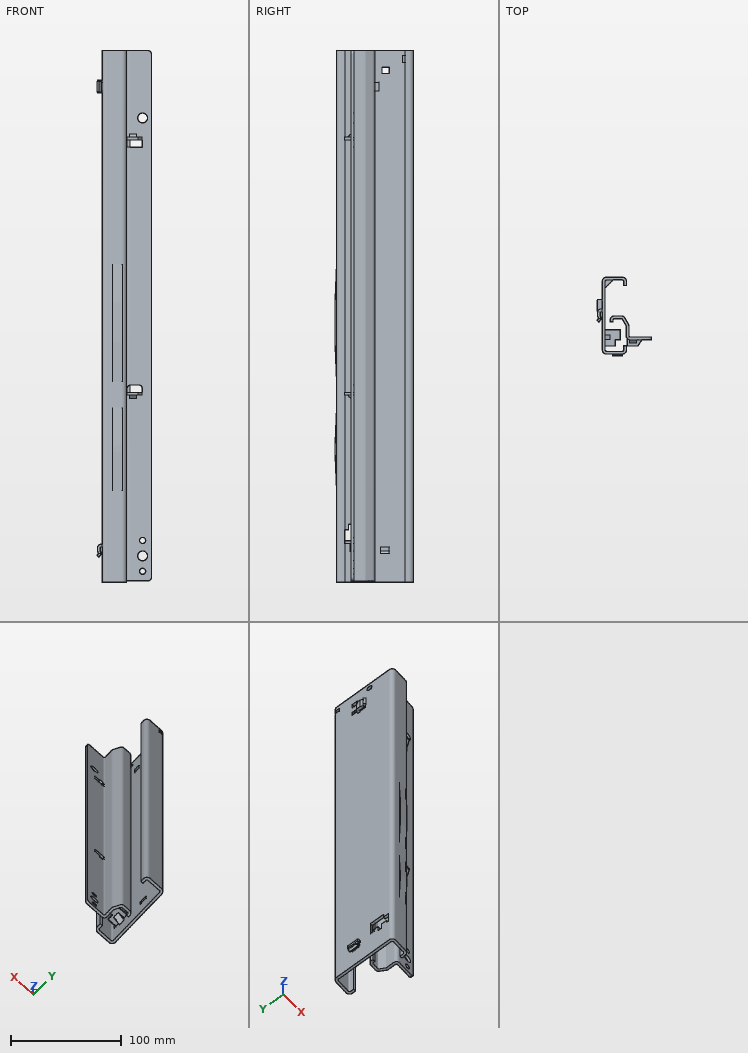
import cadquery as cq
import math


THICKNESS = 2.65
CHANNEL_BEND_RADIUS = 1.5
BRACKET_BEND_RADIUS = 1.0

LENGTH = 480.0
CHANNEL_HEIGHT = 69.5
CHANNEL_DEPTH = 22.0
LIP_LENGTH = 7.5

PAD_X = (9.0, 18.0)
PAD_RISE = 1.5
PADS = [(83.0, 157.5, 6.0), (181.5, 287.0, 36.0)]

ROUND_HOLE_DIAMETER = 6.0
ROUND_HOLE_Y = 27.5
TOP_FEATURE_Z = 472.5
SQUARE_HOLE_Y = (41.5, 47.5)
SQUARE_HOLE_Z = (459.5, 464.5)
SHALLOW_RECESS_Y = (41.0, 48.0)
SHALLOW_RECESS_Z = (447.0, 450.5)
SHALLOW_RECESS_DEPTH = 0.5

HOOK_STAND_OFF = 4.5
HOOK_DIP = 3.5
HOOK_REACH = 5.0
HOOK_SHANK_END = 6.0
HOOK_WAIST = 8.5
HOOK_RUN = 12.0
HOOK_TIP_SLANT = 2.0
HOOK_ROOT_RADIUS = 3.5
HOOK_WIDTH = 11.5
HOOK_TIP_WIDTH = 9.5
HOOK_WINDOW_WIDTH = 7.5
SIDE_HOOK_ROOT = (41.0, 447.5)
DOWN_HOOK_ROOT = (43.5, 34.5)

WEB_WINDOW_Y = (5.5, 26.5)
WEB_WINDOW_STEP_Y = 11.0
WEB_WINDOW_BOTTOM = 35.0
WEB_WINDOW_TOP = 52.5
WEB_WINDOW_STEP_TOP = 47.5
WEB_TAB_Y = (7.0, 22.0)
WEB_TAB_STEP_Y = 13.0
WEB_TAB_REACH = 16.5
WEB_TAB_STEP_REACH = 12.0
WEB_DART_Y = 15.5

DART_LEG = 7.0
DART_WIDTH = 6.0
DART_GROOVE_WIDTH = 4.0

BRACKET_BOTTOM = 1.5
WALL_X = 21.5
WALL_TOP = 26.0
FLANGE_Y = 13.0
FLANGE_END = 44.5
FLANGE_CORNER_RADIUS = 3.5
CREST_Y = 34.5
CREST_END = 18.5
HOOK_LIP_X = 7.0
HOOK_LIP_END = 29.5

FLANGE_HOLE_X = 36.5
SMALL_HOLE = 5.5
LARGE_HOLE = 8.5
FLANGE_HOLES = [(10.0, SMALL_HOLE), (24.0, LARGE_HOLE), (38.0, SMALL_HOLE), (419.0, LARGE_HOLE)]

FLANGE_TABS = [(402.0, -1, 0), (169.0, 1, 3.0)]
FLANGE_TAB_X = (22.5, 36.0)
FLANGE_TAB_TIP_X = 32.0
FLANGE_TAB_REACH = 6.0
FLANGE_TAB_WINDOW = 9.0
FLANGE_DART_X = 28.0
FLANGE_DART_LEG = 3.0


def box(x_range, y_range, z_range):
    """Axis-aligned block between the given limits."""
    size = [high - low for low, high in (x_range, y_range, z_range)]
    corner = (x_range[0], y_range[0], z_range[0])
    return cq.Workplane("XY").box(*size, centered=False).translate(corner)


def offset_side(path, distance):
    """Points of a mitred parallel to an open path; positive distances lie on its left."""
    headings = [math.atan2(b[1] - a[1], b[0] - a[0]) for a, b in zip(path, path[1:])]
    before = headings[:1] + headings
    after = headings + headings[-1:]
    side = []
    for (x, y), first, second in zip(path, before, after):
        middle = (first + second) / 2
        miter = distance / math.cos((second - first) / 2)
        side.append((x - miter * math.sin(middle), y + miter * math.cos(middle)))
    return side


def folded_sheet(path, bottom, top, bend_radius):
    """Upright sheet whose middle follows the path, with every corner bent round."""
    left = offset_side(path, THICKNESS / 2)
    right = offset_side(path, -THICKNESS / 2)
    sheet = cq.Workplane("XY").workplane(offset=bottom)
    sheet = sheet.polyline(left + right[::-1]).close().extrude(top - bottom)
    middle_z = (bottom + top) / 2
    for i in range(1, len(path) - 1):
        (x0, y0), (x1, y1), (x2, y2) = path[i - 1 : i + 2]
        turns_left = (x1 - x0) * (y2 - y1) > (y1 - y0) * (x2 - x1)
        inner, outer = (left[i], right[i]) if turns_left else (right[i], left[i])
        for corner, radius in ((inner, bend_radius), (outer, bend_radius + THICKNESS)):
            nearest = cq.selectors.NearestToPointSelector((*corner, middle_z))
            sheet = sheet.edges("|Z").edges(nearest).fillet(radius)
    return sheet


def dart(body, plane, outer_corner, signs, leg):
    """Press a slanted dart into a bend: a groove outside and a rib inside.

    The plane cuts across the bend through the middle of the dart; signs point from the
    outer corner of the bend along its two legs.
    """
    side_u, side_v = signs

    def wedge(inset, size, width):
        u = outer_corner[0] + side_u * inset
        v = outer_corner[1] + side_v * inset
        outline = [(u, v), (u + side_u * size, v), (u, v + side_v * size)]
        return cq.Workplane(plane).polyline(outline).close().extrude(width / 2, both=True)

    rib = wedge(THICKNESS / 2, leg + THICKNESS, DART_WIDTH)
    return body.union(rib).cut(wedge(0, leg, DART_GROOVE_WIDTH))


def hook():
    """Hook with its root at the origin, standing off toward -X and running toward -Z."""
    profile = [
        (THICKNESS, 0),
        (-HOOK_STAND_OFF, 0),
        (-HOOK_STAND_OFF, -HOOK_SHANK_END),
        (-HOOK_DIP, -HOOK_WAIST),
        (-HOOK_REACH, -HOOK_RUN + HOOK_TIP_SLANT),
        (-HOOK_REACH + HOOK_TIP_SLANT, -HOOK_RUN),
        (-HOOK_DIP + THICKNESS, -HOOK_WAIST),
        (-HOOK_STAND_OFF + THICKNESS, -HOOK_SHANK_END),
        (-HOOK_STAND_OFF + THICKNESS, -THICKNESS),
        (THICKNESS, -THICKNESS),
    ]
    strip = cq.Workplane("XZ").polyline(profile).close().extrude(HOOK_WIDTH / 2, both=True)
    strip = strip.edges("|Y and >Z").edges("<X").fillet(HOOK_ROOT_RADIUS)
    trim = (HOOK_WIDTH - HOOK_TIP_WIDTH) / 2
    for side in (-1, 1):
        middle = side * (HOOK_TIP_WIDTH + trim) / 2
        y_range = (middle - trim / 2, middle + trim / 2)
        strip = strip.cut(box((-HOOK_REACH, 0), y_range, (-HOOK_RUN, -HOOK_WAIST)))
    return strip


def hook_window():
    """Opening in the web behind a hook placed like hook()."""
    half = HOOK_WINDOW_WIDTH / 2
    return box((0, THICKNESS), (-half, half), (-HOOK_WAIST, -THICKNESS))


def place_side_hook(shape):
    y, z = SIDE_HOOK_ROOT
    return shape.rotate((0, 0, 0), (1, 0, 0), -90).translate((0, y, z))


def place_down_hook(shape):
    y, z = DOWN_HOOK_ROOT
    return shape.translate((0, y, z))


def add_pads(channel):
    for bottom, top, crest in PADS:
        middle = (bottom + top) / 2
        outline = [
            (THICKNESS / 2, bottom),
            (0, bottom),
            (-PAD_RISE, middle - crest / 2),
            (-PAD_RISE, middle + crest / 2),
            (0, top),
            (THICKNESS / 2, top),
        ]
        pad = cq.Workplane("YZ", origin=(PAD_X[0], 0, 0)).polyline(outline).close()
        channel = channel.union(pad.extrude(PAD_X[1] - PAD_X[0]))
    return channel


def cut_web_holes(channel):
    web = (0, THICKNESS)
    round_hole = cq.Workplane("YZ").center(ROUND_HOLE_Y, TOP_FEATURE_Z)
    round_hole = round_hole.circle(ROUND_HOLE_DIAMETER / 2).extrude(THICKNESS)
    recess = box((0, SHALLOW_RECESS_DEPTH), SHALLOW_RECESS_Y, SHALLOW_RECESS_Z)
    return channel.cut(round_hole).cut(box(web, SQUARE_HOLE_Y, SQUARE_HOLE_Z)).cut(recess)


def fold_web_tab(channel):
    """Cut the stepped window, then fold its tab inward along the bottom edge."""
    web = (0, THICKNESS)
    low_y, high_y = WEB_WINDOW_Y
    wide = box(web, (WEB_WINDOW_STEP_Y, high_y), (WEB_WINDOW_BOTTOM, WEB_WINDOW_TOP))
    step = box(web, (low_y, WEB_WINDOW_STEP_Y), (WEB_WINDOW_BOTTOM, WEB_WINDOW_STEP_TOP))
    tab_z = (WEB_WINDOW_BOTTOM, WEB_WINDOW_BOTTOM + THICKNESS)
    low_y, high_y = WEB_TAB_Y
    long_tab = box((0, WEB_TAB_REACH), (WEB_TAB_STEP_Y, high_y), tab_z)
    short_tab = box((0, WEB_TAB_STEP_REACH), (low_y, WEB_TAB_STEP_Y), tab_z)
    channel = channel.cut(wide).cut(step).union(long_tab).union(short_tab)
    plane = cq.Plane(origin=(0, WEB_DART_Y, 0), xDir=(1, 0, 0), normal=(0, -1, 0))
    return dart(channel, plane, (0, tab_z[1]), (1, -1), DART_LEG)


def make_channel():
    near, far = THICKNESS / 2, CHANNEL_DEPTH - THICKNESS / 2
    high = CHANNEL_HEIGHT - THICKNESS / 2
    path = [
        (far, LIP_LENGTH),
        (far, near),
        (near, near),
        (near, high),
        (far, high),
        (far, CHANNEL_HEIGHT - LIP_LENGTH),
    ]
    channel = folded_sheet(path, 0, LENGTH, CHANNEL_BEND_RADIUS)
    channel = add_pads(channel)
    channel = cut_web_holes(channel)
    corner_plane = cq.Plane(origin=(0, 0, TOP_FEATURE_Z), xDir=(1, 0, 0), normal=(0, 0, 1))
    channel = dart(channel, corner_plane, (0, CHANNEL_HEIGHT), (1, -1), DART_LEG)
    for place in (place_side_hook, place_down_hook):
        channel = channel.cut(place(hook_window())).union(place(hook()))
    return fold_web_tab(channel)


def fold_flange_tab(bracket, fold_z, direction, corner_radius):
    """Cut a window in the flange and fold its tab outward, toward -Y."""
    start, end = FLANGE_TAB_X
    window_z = sorted((fold_z, fold_z + direction * FLANGE_TAB_WINDOW))
    inner_y = FLANGE_Y + THICKNESS
    window = box(FLANGE_TAB_X, (FLANGE_Y, inner_y), window_z)
    if corner_radius:
        window = window.edges("|Y").edges(">Z" if direction > 0 else "<Z").fillet(corner_radius)
    bracket = bracket.cut(window)
    tip_y = FLANGE_Y - FLANGE_TAB_REACH
    outline = [
        (start, inner_y),
        (end, inner_y),
        (end, FLANGE_Y),
        (FLANGE_TAB_TIP_X, tip_y),
        (start, tip_y),
    ]
    tab = cq.Workplane("XY", origin=(0, 0, fold_z)).polyline(outline).close()
    bracket = bracket.union(tab.extrude(direction * THICKNESS))
    plane = cq.Plane(origin=(FLANGE_DART_X, 0, 0), xDir=(0, 1, 0), normal=(1, 0, 0))
    corner = (inner_y, fold_z + direction * THICKNESS)
    return dart(bracket, plane, corner, (-1, -direction), FLANGE_DART_LEG)


def make_bracket():
    half = THICKNESS / 2
    path = [
        (HOOK_LIP_X + half, HOOK_LIP_END),
        (HOOK_LIP_X + half, CREST_Y - half),
        (CREST_END, CREST_Y - half),
        (WALL_X + half, WALL_TOP),
        (WALL_X + half, FLANGE_Y + half),
        (FLANGE_END, FLANGE_Y + half),
    ]
    bracket = folded_sheet(path, BRACKET_BOTTOM, LENGTH, BRACKET_BEND_RADIUS)
    bracket = bracket.edges("|Y and >X").fillet(FLANGE_CORNER_RADIUS)
    for z, diameter in FLANGE_HOLES:
        hole = cq.Workplane("XZ", origin=(FLANGE_HOLE_X, FLANGE_Y, z)).circle(diameter / 2)
        bracket = bracket.cut(hole.extrude(-THICKNESS))
    for fold_z, direction, corner_radius in FLANGE_TABS:
        bracket = fold_flange_tab(bracket, fold_z, direction, corner_radius)
    return bracket


channel = make_channel()
bracket = make_bracket()

result = cq.Compound.makeCompound([channel.solids().val(), bracket.solids().val()])